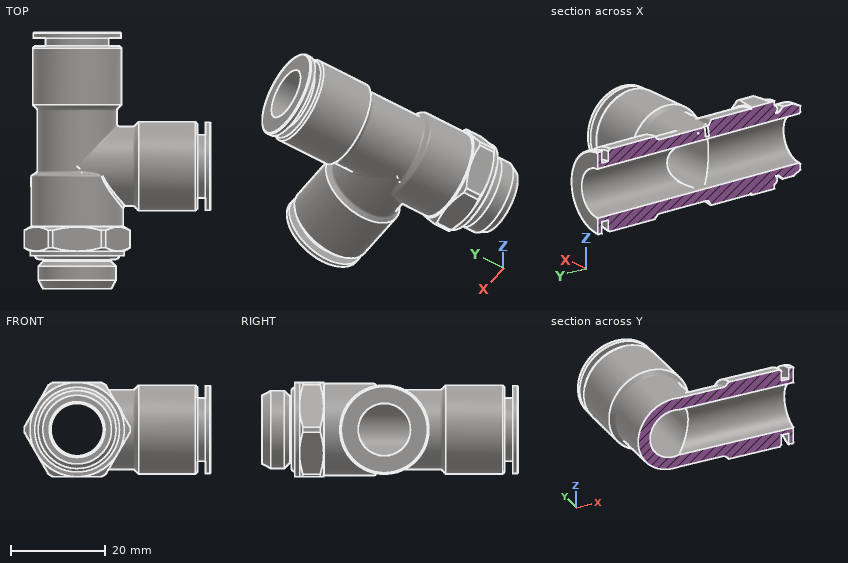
import cadquery as cq
import math


overall_length = 54.4
bore_radius = 5.55
tube_radius = 8.5
edge_round = 0.5
junction_fillet = 0.5

arm_length = 28.4
ring_thickness = 1.2
ring_radius = 9.35
ring_chamfer = 0.2
neck_radius = 6.75
collar_radius = 9.45
collar_front = 25.55
collar_rear = 13.05

thread_end = overall_length - arm_length
body_radius = 9.8
shoulder_start = 1.25
shoulder_angle = 60
body_end = 12.75
hex_start = 12.9
hex_end = 18.0
hex_across_flats = 20.0
flat_radius = hex_across_flats / 2
hex_corner_radius = 11.25
hex_chamfer_angle = 30
relief_radius = 9.65
flange_end = 19.05
seal_end = 19.8
seal_centre_radius = 8.0
seal_section_radius = 1.05
groove_radius = 7.2
thread_radius = 8.25
thread_start = 21.2
thread_taper_start = 24.15
thread_tip_radius = 7.3
bore_chamfer = 0.4

crossing_tolerance = 0.001
selection_margin = 0.05


def turned(points):
    """Revolve an (r, y) outline about the Y axis; both ends lie on the axis."""
    return cq.Workplane("XY").polyline(points).close().revolve(360, (0, 0, 0), (0, 1, 0))


def round_rings(solid, y):
    """Round the circular edges lying at height y on the Y axis."""
    low = (-overall_length, y - selection_margin, -overall_length)
    high = (overall_length, y + selection_margin, overall_length)
    slab = cq.selectors.BoxSelector(low, high, boundingbox=True)
    return solid.edges(slab).fillet(edge_round)


def push_in_arm():
    """Plain tube, collar, neck and release ring of one push-in end, along +Y."""
    ring_start = arm_length - ring_thickness
    cone_end = collar_rear - (collar_radius - tube_radius)
    arm = turned([
        (0, 0),
        (tube_radius, 0),
        (tube_radius, cone_end),
        (collar_radius, collar_rear),
        (collar_radius, collar_front - edge_round),
        (collar_radius - edge_round, collar_front),
        (neck_radius, collar_front),
        (neck_radius, ring_start),
        (ring_radius, ring_start),
        (ring_radius, arm_length - ring_chamfer),
        (ring_radius - ring_chamfer, arm_length),
        (0, arm_length),
    ])
    return round_rings(arm, cone_end)


def swivel_body():
    """Lower body whose rounded cone shoulder rises from the plain tube."""
    cone_length = (body_radius - tube_radius) / math.tan(math.radians(shoulder_angle))
    shoulder_end = shoulder_start + cone_length
    body = turned([
        (0, 0),
        (tube_radius, 0),
        (tube_radius, -shoulder_start),
        (body_radius, -shoulder_end),
        (body_radius, -body_end),
        (0, -body_end),
    ])
    body = round_rings(body, -shoulder_start)
    return round_rings(body, -shoulder_end)


def hexagon():
    """Hexagon with flats facing +-Z, its corners turned down and chamfered."""
    chamfer_length = (hex_corner_radius - flat_radius) * math.tan(math.radians(hex_chamfer_angle))
    corner_diameter = hex_across_flats / math.cos(math.pi / 6)
    prism = (
        cq.Workplane("XZ", origin=(0, -hex_start, 0))
        .polygon(6, corner_diameter)
        .extrude(hex_end - hex_start)
    )
    envelope = turned([
        (0, -hex_start),
        (flat_radius, -hex_start),
        (hex_corner_radius, -hex_start - chamfer_length),
        (hex_corner_radius, -hex_end + chamfer_length),
        (flat_radius, -hex_end),
        (0, -hex_end),
    ])
    return prism.intersect(envelope)


def threaded_stud():
    """Relief, flange, groove and tapered stud that carry the hexagon and seal."""
    return turned([
        (0, -body_end),
        (relief_radius, -body_end),
        (relief_radius, -hex_end),
        (flat_radius, -hex_end),
        (flat_radius, -flange_end),
        (groove_radius, -flange_end),
        (groove_radius, -thread_start + thread_radius - groove_radius),
        (thread_radius, -thread_start),
        (thread_radius, -thread_taper_start),
        (thread_tip_radius, -thread_end),
        (0, -thread_end),
    ])


def seal():
    """Sealing ring seated against the flange."""
    seal_y = seal_section_radius - seal_end
    return (
        cq.Workplane("XY")
        .moveTo(seal_centre_radius, seal_y)
        .circle(seal_section_radius)
        .revolve(360, (0, 0, 0), (0, 1, 0))
    )


def along_branch(solid):
    """Turn a solid built along +Y to lie along +X."""
    return solid.rotate((0, 0, 0), (0, 0, 1), -90)


def flow_bores():
    """Run bore through both ends, chamfered at the stud tip, plus the branch bore."""
    run_bore = turned([
        (0, arm_length),
        (bore_radius, arm_length),
        (bore_radius, bore_chamfer - thread_end),
        (bore_radius + bore_chamfer, -thread_end),
        (0, -thread_end),
    ])
    arm_bore = turned([(0, 0), (bore_radius, 0), (bore_radius, arm_length), (0, arm_length)])
    return run_bore.union(along_branch(arm_bore), tol=crossing_tolerance)


def junction_edges():
    """Selector for the curved edges where the branch meets the run."""
    tube_reach = tube_radius + selection_margin
    low = (-selection_margin, -tube_reach, -tube_reach)
    high = (body_radius + selection_margin, tube_reach, tube_reach)
    around_branch = cq.selectors.BoxSelector(low, high, boundingbox=True)
    return around_branch - cq.selectors.TypeSelector("LINE")


arm = push_in_arm()
run = arm.union(swivel_body())
tee = run.union(along_branch(arm), tol=crossing_tolerance)
tee = tee.edges(junction_edges()).fillet(junction_fillet)

fitting = tee.union(threaded_stud()).union(hexagon()).union(seal())
result = fitting.cut(flow_bores())